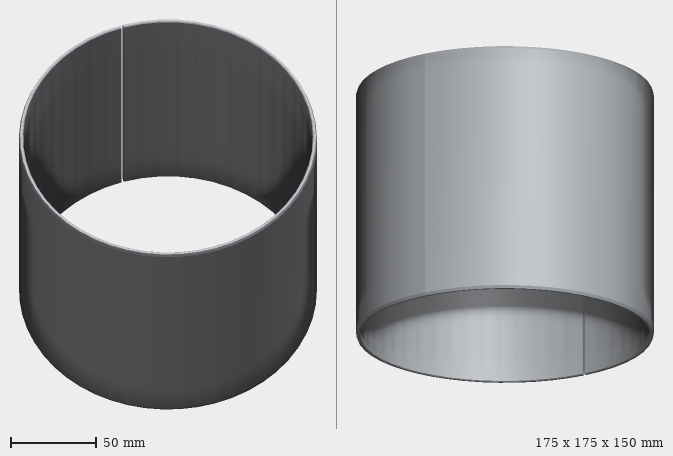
import cadquery as cq

outer_diameter = 175.0
wall = 2.5
height = 150.0
bevel_height = 1.8
bevel_width = 0.63
inner_chamfer = 0.5
slit_width = 1.5

outer_radius = outer_diameter / 2
inner_radius = outer_radius - wall

wall_section = [
    (inner_radius + inner_chamfer, 0),
    (outer_radius - bevel_width, 0),
    (outer_radius, bevel_height),
    (outer_radius, height - bevel_height),
    (outer_radius - bevel_width, height),
    (inner_radius + inner_chamfer, height),
    (inner_radius, height - inner_chamfer),
    (inner_radius, inner_chamfer),
]
tube = cq.Workplane("XZ").polyline(wall_section).close().revolve(360, (0, 0), (0, 1))

slit_length = 4 * wall
slit = (
    cq.Workplane("XY")
    .center(-outer_radius, slit_width / 2)
    .rect(slit_length, slit_width)
    .extrude(height)
)

result = tube.cut(slit)